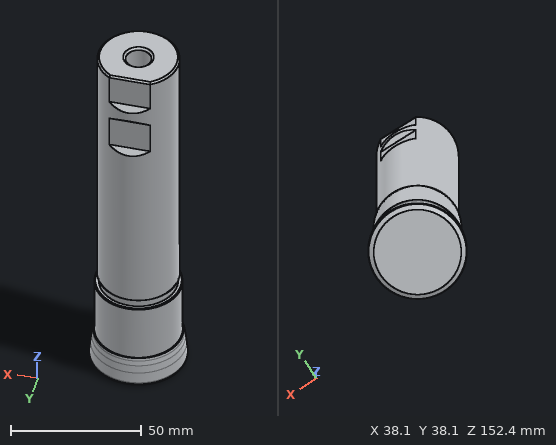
import cadquery as cq
import math

total_length = 152.42
shank_dia = 31.75
neck_dia = 30.75
collar_dia = 34.0

base_dia = 33.7
rim_dia = 37.6
rim_height = 1.0
head_max_dia = 38.07
head_max_bottom = 1.6
head_max_top = 2.4
head_lower_dia = 37.1
head_lower_height = 7.0
head_upper_dia = 36.24
head_upper_height = 10.3
head_top_dia = 35.4
head_top_height = 12.4
head_step_dia = 34.9
collar_bottom = 13.4

collar_top = 38.3
collar_chamfer = 0.4
neck_top = 41.2
neck_chamfer = (shank_dia - neck_dia) / 2

top_chamfer = 0.75

flat_y = 13.65
flat_depth = shank_dia / 2 - flat_y
upper_flat_length = 13.0
lower_flat_top = 130.85
lower_flat_bottom = 117.5
cutter_rise = 2 * flat_depth

hole_dia = 10.0
hole_mouth_dia = 11.8
hole_depth = 20.0
drill_point_angle = 118.0


def revolve_about_z(outline):
    """Solid of revolution about Z from an outline of (radius, Z) points."""
    return cq.Workplane("YZ").polyline(outline).close().revolve(360, (0, 0), (0, 1))


def make_body():
    """Head, collar, neck and shank as one turned body."""
    return revolve_about_z([
        (0, 0),
        (base_dia / 2, 0),
        (rim_dia / 2, rim_height),
        (head_max_dia / 2, head_max_bottom),
        (head_max_dia / 2, head_max_top),
        (head_lower_dia / 2, head_lower_height),
        (head_upper_dia / 2, head_upper_height),
        (head_top_dia / 2, head_top_height),
        (head_step_dia / 2, collar_bottom),
        (collar_dia / 2, collar_bottom),
        (collar_dia / 2, collar_top - collar_chamfer),
        (collar_dia / 2 - collar_chamfer, collar_top),
        (neck_dia / 2, collar_top),
        (neck_dia / 2, neck_top),
        (shank_dia / 2, neck_top + neck_chamfer),
        (shank_dia / 2, total_length),
        (0, total_length),
    ])


def make_flat_cutter(bottom, top, top_ramp):
    """Cutter for a flat from bottom to top; top_ramp is the length of its upper ramp in Z."""
    outer_y = flat_y + cutter_rise
    outline = [
        (flat_y, bottom),
        (outer_y, bottom - cutter_rise),
        (outer_y, top + top_ramp),
        (flat_y, top),
    ]
    return cq.Workplane("YZ").polyline(outline).close().extrude(shank_dia / 2, both=True)


def make_hole_cutter():
    """Blind drilled hole with a chamfered mouth and a conical bottom."""
    mouth_chamfer = (hole_mouth_dia - hole_dia) / 2
    tip_length = hole_dia / 2 / math.tan(math.radians(drill_point_angle / 2))
    floor = total_length - hole_depth
    return revolve_about_z([
        (0, floor - tip_length),
        (hole_dia / 2, floor),
        (hole_dia / 2, total_length - mouth_chamfer),
        (hole_mouth_dia / 2, total_length),
        (0, total_length),
    ])


upper_flat = make_flat_cutter(total_length - upper_flat_length, total_length, 0)
lower_flat = make_flat_cutter(lower_flat_bottom, lower_flat_top, cutter_rise)

result = make_body().cut(upper_flat).cut(lower_flat)
result = result.faces(">Z").edges().chamfer(top_chamfer)
result = result.cut(make_hole_cutter())